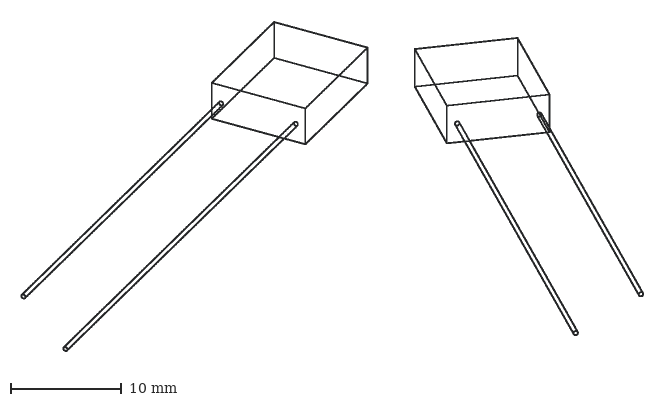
import cadquery as cq

case_width = 9.55
case_length = 12.05
case_height = 3.8

overall_length = 56.55
lead_diameter = 0.425
lead_spacing = 7.65
lead_length_difference = 6.35
long_lead_length = overall_length - case_length
short_lead_length = long_lead_length - lead_length_difference


def make_case():
    """Rectangular case reaching from the lead face back along +Y."""
    return cq.Workplane("XY").box(case_width, case_length, case_height, centered=(True, False, True))


def make_lead(x, length):
    """Straight round wire that butts against the front face of the case."""
    return cq.Workplane("XZ").center(x, 0).circle(lead_diameter / 2).extrude(length)


case = make_case()

leads = []
for x, length in [
    (-lead_spacing / 2, short_lead_length),
    (lead_spacing / 2, long_lead_length),
]:
    leads.append(make_lead(x, length).val())

result = cq.Compound.makeCompound([case.val(), *leads])